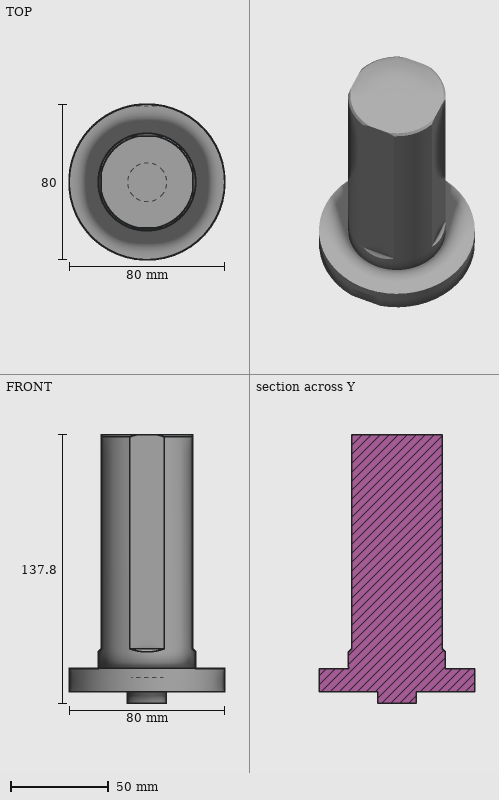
import cadquery as cq

total_height = 137.8
pin_diameter = 20.0
pin_height = 5.9
flange_diameter = 80.0
flange_height = 12.0
post_diameter = 50.0
post_top_chamfer = 1.1

across_flats = 46.9
flat_depth = (post_diameter - across_flats) / 2
flats_start = 28.0

relief_depth = 0.8
relief_height = 7.5

flange_top = pin_height + flange_height


def make_cylinder(diameter, bottom, top):
    return cq.Workplane("XY", origin=(0, 0, bottom)).circle(diameter / 2).extrude(top - bottom)


def make_flat_cutter():
    """Cutter for the -Y flat, with a 45 degree runout at its lower end."""
    flat_y = -across_flats / 2
    rim_y = -post_diameter / 2
    return (
        cq.Workplane("YZ")
        .moveTo(flat_y, flats_start)
        .lineTo(flat_y, total_height)
        .lineTo(rim_y, total_height)
        .lineTo(rim_y, flats_start - flat_depth)
        .close()
        .extrude(post_diameter / 2, both=True)
    )


def make_post():
    post = make_cylinder(post_diameter, flange_top, total_height)
    post = post.faces(">Z").chamfer(post_top_chamfer)
    cutter = make_flat_cutter()
    for angle in (0, 90, 180, 270):
        post = post.cut(cutter.rotate((0, 0, 0), (0, 0, 1), angle))
    return post


def make_flange():
    flange = make_cylinder(flange_diameter, pin_height, flange_top)
    relief = cq.Workplane("XY").box(
        flange_diameter, relief_depth, relief_height, centered=(True, False, False)
    ).translate((0, flange_diameter / 2 - relief_depth, pin_height))
    return flange.cut(relief)


pin = make_cylinder(pin_diameter, 0, pin_height)
result = pin.union(make_flange()).union(make_post())